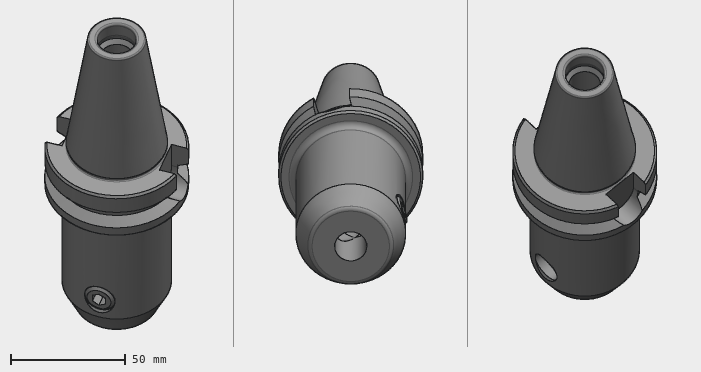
import cadquery as cq
import math


gauge_dia = 44.45
taper_length = 65.4
taper_ratio = 7 / 24
shank_end_fillet = 0.7

neck_depth = 0.5
neck_lead_in = 0.5

flange_dia = 63.0
flange_top_z = -2.0
flange_bottom_z = -27.0
flange_chamfer = 1.0
groove_center_z = -16.5
groove_floor_dia = 53.3
groove_floor_width = 4.2
groove_half_angle = 60.0

slot_width = 16.3
slot_floor_x = 22.5
slot_bottom_z = -23.5

body_dia = 48.0
body_fillet = 3.0
body_end_z = -86.9
nose_end_z = -100.0
nose_edge_dia = 36.4
nose_fillet = 2.0

bore_dia = 14.0
pilot_dia = 17.0
pilot_depth = 6.8
pilot_mouth_fillet = 1.0
relief_depth = 0.35
relief_lead_in = 1.5
relief_width = 2.4

screw_z = -76.0
screw_dia = 14.0
screw_face_dia = 11.0
countersink_depth = 1.0
hex_across_flats = 6.0
hex_depth = 6.0

gauge_radius = gauge_dia / 2
shank_end_radius = gauge_radius - taper_length * taper_ratio / 2
neck_radius = gauge_radius - neck_depth
flange_radius = flange_dia / 2
groove_floor_radius = groove_floor_dia / 2
body_radius = body_dia / 2
bore_radius = bore_dia / 2
pilot_radius = pilot_dia / 2
screw_radius = screw_dia / 2


def outer_body():
    """Solid of revolution: taper, relief neck, grooved flange, body and nose."""
    floor_half_width = groove_floor_width / 2
    groove_side = flange_radius - groove_floor_radius
    mouth_half_width = floor_half_width + groove_side / math.tan(math.radians(groove_half_angle))
    fillet_center = (body_radius + body_fillet, flange_bottom_z - body_fillet)
    fillet_reach = body_fillet * math.sqrt(0.5)
    profile = (
        cq.Workplane("XZ")
        .moveTo(0, taper_length)
        .lineTo(shank_end_radius, taper_length)
        .lineTo(gauge_radius, 0)
        .lineTo(neck_radius, -neck_lead_in)
        .lineTo(neck_radius, flange_top_z + neck_depth)
        .radiusArc((gauge_radius, flange_top_z), -neck_depth)
        .lineTo(flange_radius - flange_chamfer, flange_top_z)
        .lineTo(flange_radius, flange_top_z - flange_chamfer)
        .lineTo(flange_radius, groove_center_z + mouth_half_width)
        .lineTo(groove_floor_radius, groove_center_z + floor_half_width)
        .lineTo(groove_floor_radius, groove_center_z - floor_half_width)
        .lineTo(flange_radius, groove_center_z - mouth_half_width)
        .lineTo(flange_radius, flange_bottom_z + flange_chamfer)
        .lineTo(flange_radius - flange_chamfer, flange_bottom_z)
        .lineTo(fillet_center[0], flange_bottom_z)
        .threePointArc(
            (fillet_center[0] - fillet_reach, fillet_center[1] + fillet_reach),
            (body_radius, fillet_center[1]),
        )
        .lineTo(body_radius, body_end_z)
        .lineTo(nose_edge_dia / 2, nose_end_z)
        .lineTo(0, nose_end_z)
        .close()
    )
    solid = profile.revolve(360, (0, 0, 0), (0, 1, 0))
    return solid.faces("<Z").edges().fillet(nose_fillet).faces(">Z").edges().fillet(shank_end_fillet)


def axial_bore():
    """Through bore with a wider pilot, a relief groove below it and a rounded mouth."""
    mouth_z = taper_length - pilot_mouth_fillet
    pilot_end_z = taper_length - pilot_depth
    relief_radius = pilot_radius + relief_depth
    relief_end_z = pilot_end_z - relief_width
    shoulder_drop = relief_radius - bore_radius
    return (
        cq.Workplane("XZ")
        .moveTo(0, taper_length)
        .lineTo(pilot_radius + pilot_mouth_fillet, taper_length)
        .radiusArc((pilot_radius, mouth_z), -pilot_mouth_fillet)
        .lineTo(pilot_radius, pilot_end_z)
        .lineTo(relief_radius, pilot_end_z - relief_lead_in)
        .lineTo(relief_radius, relief_end_z)
        .lineTo(bore_radius, relief_end_z - shoulder_drop)
        .lineTo(bore_radius, nose_end_z)
        .lineTo(0, nose_end_z)
        .close()
        .revolve(360, (0, 0, 0), (0, 1, 0))
    )


def drive_slot(side):
    """Round-bottomed slot through the flange, on the +X side (1) or the -X side (-1)."""
    slot_radius = slot_width / 2
    round_center_z = slot_bottom_z + slot_radius
    return (
        cq.Workplane("YZ")
        .workplane(offset=side * slot_floor_x)
        .moveTo(-slot_radius, flange_top_z)
        .lineTo(-slot_radius, round_center_z)
        .threePointArc((0, slot_bottom_z), (slot_radius, round_center_z))
        .lineTo(slot_radius, flange_top_z)
        .close()
        .extrude(side * flange_radius)
    )


def cross_hole(side):
    """Hole from the bore out through the wall, with a 45 degree countersink on the outside."""
    countersink_start = body_radius - countersink_depth
    return (
        cq.Workplane("XY")
        .moveTo(0, 0)
        .lineTo(screw_radius, 0)
        .lineTo(screw_radius, countersink_start)
        .lineTo(screw_radius + countersink_depth, body_radius)
        .lineTo(0, body_radius)
        .close()
        .revolve(360, (0, 0, 0), (0, 1, 0))
        .rotate((0, 0, 0), (0, 0, 1), 0 if side > 0 else 180)
        .translate((0, 0, screw_z))
    )


def clamping_screw():
    """Hex socket set screw filling the -Y hole, flush with the body and clear of the bore."""
    face_chamfer = screw_radius - screw_face_dia / 2
    screw = (
        cq.Workplane("XZ", origin=(0, 0, screw_z))
        .circle(screw_radius)
        .extrude(body_radius)
        .faces("<Y")
        .chamfer(face_chamfer)
    )
    hex_across_corners = hex_across_flats / math.cos(math.radians(30))
    socket = (
        cq.Workplane("XZ", origin=(0, -body_radius + hex_depth, screw_z))
        .transformed(rotate=(0, 0, 90))
        .polygon(6, hex_across_corners)
        .extrude(hex_depth)
    )
    return screw.cut(socket)


body = outer_body()
for side in (-1, 1):
    body = body.cut(drive_slot(side)).cut(cross_hole(side))

result = body.union(clamping_screw()).cut(axial_bore())